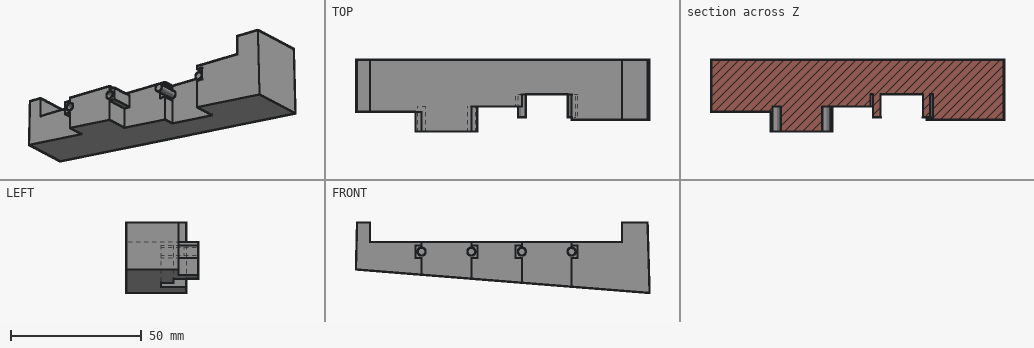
import cadquery as cq

length = 112.2
height = 27.0
post_height = 7.5
left_end_height = 18.1
left_lean = 0.5
right_lean = 0.8
left_post_inner_x = 5.5
right_post_inner_x = 101.5

left_bump_x = 25.1
right_bump_x = 44.1
left_recess_x = 63.4
right_recess_x = 82.4
left_depth = 20.0
bump_depth = 27.5
step_depth = 18.0
recess_depth = 13.2
right_depth = 23.0

tongue_reach = 2.4
tongue_height = 4.8
joint_z = -3.7
pin_diameter = 3.0
pin_length = 8.8
socket_depth = bump_depth - step_depth


def make_body():
    """Tapered, two-posted bar, trimmed to the stepped front outline."""
    side_profile = (
        cq.Workplane("XZ")
        .polyline([
            (0, post_height - left_end_height),
            (left_lean, post_height),
            (left_post_inner_x, post_height),
            (left_post_inner_x, 0),
            (right_post_inner_x, 0),
            (right_post_inner_x, post_height),
            (length - right_lean, post_height),
            (length, post_height - height),
        ])
        .close()
        .extrude(bump_depth)
    )
    plan = (
        cq.Workplane("XY")
        .workplane(offset=post_height - height)
        .polyline([
            (0, 0),
            (0, -left_depth),
            (left_bump_x, -left_depth),
            (left_bump_x, -bump_depth),
            (right_bump_x, -bump_depth),
            (right_bump_x, -step_depth),
            (left_recess_x, -step_depth),
            (left_recess_x, -recess_depth),
            (right_recess_x, -recess_depth),
            (right_recess_x, -right_depth),
            (length, -right_depth),
            (length, 0),
        ])
        .close()
        .extrude(height)
    )
    return side_profile.intersect(plan)


def joint_block(x, direction, back_depth, front_depth):
    """Rectangular rail reaching sideways from the step at x."""
    return (
        cq.Workplane("XZ", origin=(x + direction * tongue_reach / 2, -back_depth, joint_z))
        .rect(tongue_reach, tongue_height)
        .extrude(front_depth - back_depth)
    )


def joint_cylinder(x, back_depth, cylinder_length):
    """Round pin or socket centred on the step at x, running forward from back_depth."""
    return (
        cq.Workplane("XZ", origin=(x, -back_depth, joint_z))
        .circle(pin_diameter / 2)
        .extrude(cylinder_length)
    )


result = make_body()

result = result.union(joint_block(left_bump_x, -1, left_depth, bump_depth))
result = result.union(joint_block(right_bump_x, 1, step_depth, bump_depth))

for socket_x in (left_bump_x, right_bump_x):
    result = result.cut(joint_cylinder(socket_x, bump_depth - socket_depth, socket_depth))

result = result.cut(joint_block(left_recess_x, -1, recess_depth, step_depth))
result = result.cut(joint_block(right_recess_x, 1, recess_depth, right_depth))

for pin_x in (left_recess_x, right_recess_x):
    result = result.union(joint_cylinder(pin_x, recess_depth, pin_length))